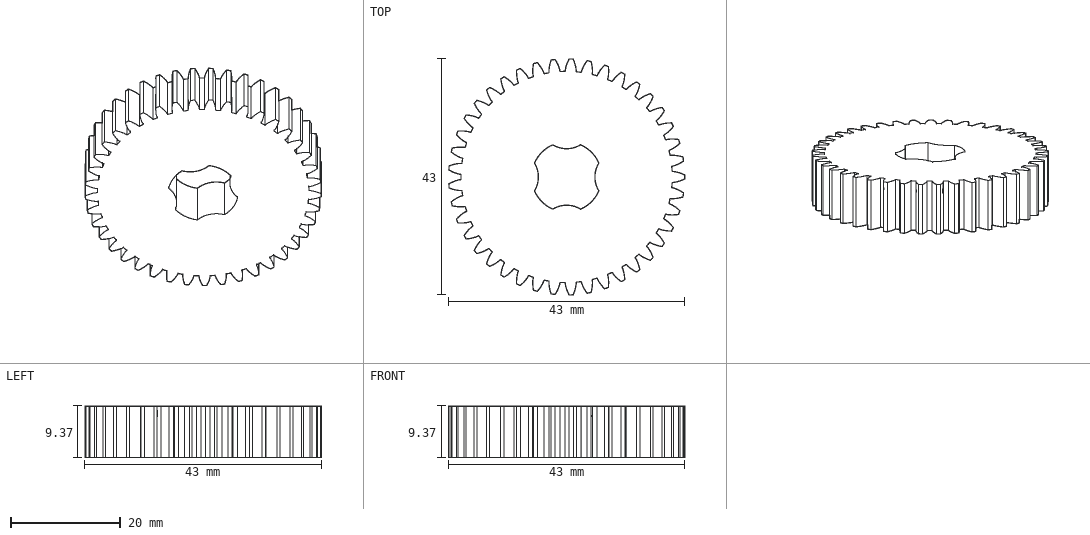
import cadquery as cq
import math

TOOTH_COUNT = 41
TIP_RADIUS = 21.5
FACE_WIDTH = 9.37

PRESSURE_ANGLE = math.radians(20)
DEDENDUM_FACTOR = 1.25
MODULE = 2 * TIP_RADIUS / (TOOTH_COUNT + 2)
PITCH_RADIUS = MODULE * TOOTH_COUNT / 2
BASE_RADIUS = PITCH_RADIUS * math.cos(PRESSURE_ANGLE)
ROOT_RADIUS = PITCH_RADIUS - DEDENDUM_FACTOR * MODULE
TOOTH_PITCH = 2 * math.pi / TOOTH_COUNT
FLANK_POINT_COUNT = 6

BORE_RADIUS = 6.35
LOBE_COUNT = 4
LOBE_CLEARANCE = 5.1
LOBE_RADIUS = 4.8


def polar(radius, angle):
    """Point at a radius and angle about the gear axis."""
    return (radius * math.cos(angle), radius * math.sin(angle))


def involute_angle(radius):
    """Angle the involute has turned from the base circle out to a radius."""
    pressure = math.acos(BASE_RADIUS / radius)
    return math.tan(pressure) - pressure


def half_tooth_angle(radius):
    """Half the angle a tooth spans at a radius; radial below the base circle."""
    at_pitch = TOOTH_PITCH / 4
    return at_pitch + involute_angle(PITCH_RADIUS) - involute_angle(max(radius, BASE_RADIUS))


def gear_blank():
    """Toothed disc with one tooth centred on +X."""
    step = (TIP_RADIUS - BASE_RADIUS) / (FLANK_POINT_COUNT - 1)
    flank = [BASE_RADIUS + i * step for i in range(FLANK_POINT_COUNT)]
    root_half = half_tooth_angle(ROOT_RADIUS)

    outline = cq.Workplane("XY").moveTo(*polar(ROOT_RADIUS, -root_half))
    for tooth in range(TOOTH_COUNT):
        centre = tooth * TOOTH_PITCH
        rising = [polar(r, centre - half_tooth_angle(r)) for r in flank]
        falling = [polar(r, centre + half_tooth_angle(r)) for r in reversed(flank)]
        outline = outline.lineTo(*rising[0])
        outline = outline.spline(rising[1:], includeCurrent=True)
        outline = outline.threePointArc(polar(TIP_RADIUS, centre), falling[0])
        outline = outline.spline(falling[1:], includeCurrent=True)
        outline = outline.lineTo(*polar(ROOT_RADIUS, centre + root_half))
        gap_centre = centre + TOOTH_PITCH / 2
        next_tooth = centre + TOOTH_PITCH - root_half
        outline = outline.threePointArc(polar(ROOT_RADIUS, gap_centre), polar(ROOT_RADIUS, next_tooth))
    return outline.close().extrude(FACE_WIDTH)


def lobed_bore():
    """Cutter for the bore: a cylinder with a round scallop on each side."""
    scallops = (
        cq.Workplane("XY")
        .polarArray(LOBE_CLEARANCE + LOBE_RADIUS, 0, 360, LOBE_COUNT)
        .circle(LOBE_RADIUS)
        .extrude(FACE_WIDTH)
    )
    return cq.Workplane("XY").circle(BORE_RADIUS).extrude(FACE_WIDTH).cut(scallops)


result = gear_blank().cut(lobed_bore())